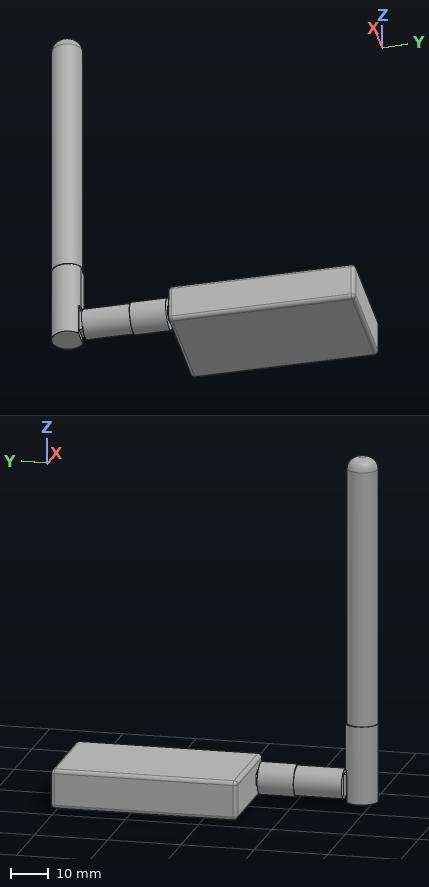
import cadquery as cq

housing_width = 29.1
housing_length = 50.9
housing_height = 10.8
housing_round = 1.1

connector_x = 9.1
axis_z = housing_height / 2
neck_diameter = 4.4
collar_diameter = 8.8
barrel_diameter = 8.2
neck_length = 0.9
collar_length = 9.9
barrel_length = 13.0
collar_start = -neck_length
barrel_start = collar_start - collar_length
barrel_end = barrel_start - barrel_length

overall_depth = 83.6
overall_height = 95.8
antenna_x = 9.4
antenna_front = housing_length - overall_depth
sleeve_diameter = 8.8
shaft_diameter = 8.3
sleeve_y = antenna_front + sleeve_diameter / 2
shaft_y = antenna_front + shaft_diameter / 2
sleeve_bottom = 0.9
sleeve_top = 22.4
tip_round = 3.3

upper_flat_y = shaft_y + shaft_diameter / 2
lower_flat_y = -24.8
lower_flat_top = 9.7
tab_width = 4.1
tab_height = 5.9


def make_housing():
    block = cq.Workplane("XY").box(
        housing_width, housing_length, housing_height, centered=(True, False, False)
    )
    return block.edges().fillet(housing_round)


def connector_cylinder(diameter, y_start, y_end):
    """Cylinder along -Y on the connector axis."""
    plane = cq.Workplane("XZ", origin=(connector_x, y_start, axis_z))
    return plane.circle(diameter / 2).extrude(y_start - y_end)


def antenna_cylinder(diameter, y, z_start, z_end):
    """Upright cylinder of the antenna."""
    plane = cq.Workplane("XY", origin=(antenna_x, y, z_start))
    return plane.circle(diameter / 2).extrude(z_end - z_start)


def rear_cutter(flat_y, z_start, z_end):
    """Block that removes everything of the sleeve behind flat_y."""
    plane = cq.Workplane("XY", origin=(antenna_x, flat_y, z_start))
    return plane.box(
        sleeve_diameter, sleeve_diameter, z_end - z_start, centered=(True, False, False)
    )


def make_sleeve():
    sleeve = antenna_cylinder(sleeve_diameter, sleeve_y, sleeve_bottom, sleeve_top)
    sleeve = sleeve.cut(rear_cutter(upper_flat_y, sleeve_bottom, sleeve_top))
    return sleeve.cut(rear_cutter(lower_flat_y, sleeve_bottom, lower_flat_top))


def make_shaft():
    shaft = antenna_cylinder(shaft_diameter, shaft_y, sleeve_top, overall_height)
    return shaft.faces(">Z").edges().fillet(tip_round)


def make_tab():
    """Hinge tab from the barrel's end to the middle of the sleeve."""
    plane = cq.Workplane("XZ", origin=(antenna_x, barrel_end, axis_z))
    return plane.rect(tab_width, tab_height).extrude(barrel_end - sleeve_y)


result = (
    make_housing()
    .union(connector_cylinder(neck_diameter, 0, collar_start))
    .union(connector_cylinder(collar_diameter, collar_start, barrel_start))
    .union(connector_cylinder(barrel_diameter, barrel_start, barrel_end))
    .union(make_tab())
    .union(make_sleeve())
    .union(make_shaft())
)